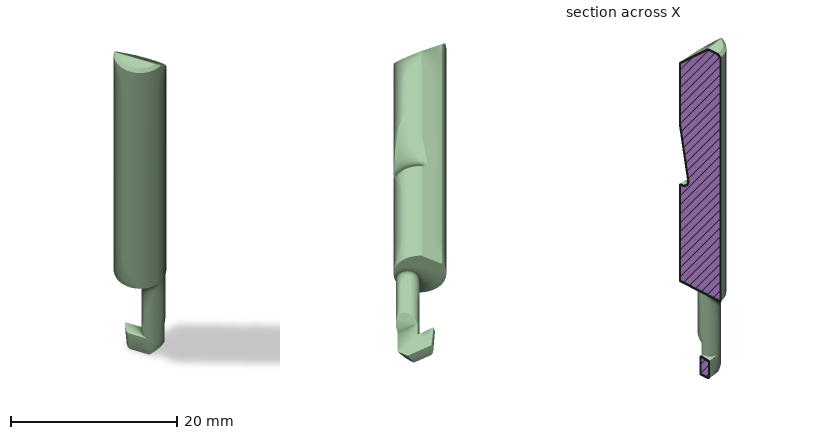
import cadquery as cq

TOTAL_LENGTH = 50.8
SHANK_DIAMETER = 6.35
SHANK_RADIUS = SHANK_DIAMETER / 2
SHANK_BOTTOM = 12.75
TOP_CHAMFER = 0.4

SLOPE_START_Y = -1.2
FLAT_DIRECTION = 152.0
FLAT_DISTANCE = 2.85
NOTCH_BOTTOM = 27.75
NOTCH_TOP = 36.8
NOTCH_FLOOR_Y = 1.75
NOTCH_RADIUS = 1.0

NECK_RADIUS = 1.4
NECK_CENTER_X = SHANK_RADIUS - NECK_RADIUS
RELIEF_BOTTOM = 4.5

HEAD_HEIGHT = 2.85
HEAD_TOP_DROP = 0.15
HEAD_TIP_X = -1.95
HEAD_TIP_TAPER = 0.3
HEAD_FRONT_X = -0.9
HEAD_FRONT_TAPER = 0.15
HEAD_BULGE = 0.15

CLEARANCE = 10.15


def yz_prism(points):
    """Prism with a Y-Z outline, extending well past the part along X."""
    return cq.Workplane("YZ").polyline(points).close().extrude(CLEARANCE, both=True)


def make_shank():
    shank = (
        cq.Workplane("XY").workplane(offset=SHANK_BOTTOM)
        .circle(SHANK_RADIUS).extrude(TOTAL_LENGTH - SHANK_BOTTOM)
        .faces(">Z").chamfer(TOP_CHAMFER)
    )
    slope = yz_prism([
        (SLOPE_START_Y, TOTAL_LENGTH),
        (SLOPE_START_Y + CLEARANCE, TOTAL_LENGTH - CLEARANCE),
        (SLOPE_START_Y + CLEARANCE, TOTAL_LENGTH),
    ])
    flat = (
        cq.Workplane("XY")
        .box(CLEARANCE, CLEARANCE, TOTAL_LENGTH, centered=(False, True, False))
        .translate((FLAT_DISTANCE, 0, 0))
        .rotate((0, 0, 0), (0, 0, 1), FLAT_DIRECTION)
    )
    notch = yz_prism([
        (SHANK_RADIUS, NOTCH_BOTTOM),
        (NOTCH_FLOOR_Y, NOTCH_BOTTOM),
        (SHANK_RADIUS, NOTCH_TOP),
    ])
    notch = notch.edges("|X").edges("<Y").fillet(NOTCH_RADIUS)
    return shank.cut(slope).cut(flat).cut(notch)


def make_neck():
    neck = cq.Workplane("XY").center(NECK_CENTER_X, 0).circle(NECK_RADIUS).extrude(SHANK_BOTTOM)
    relief = yz_prism([
        (0, -CLEARANCE),
        (0, RELIEF_BOTTOM),
        (CLEARANCE, RELIEF_BOTTOM + CLEARANCE),
        (CLEARANCE, -CLEARANCE),
    ])
    bevel_height = SHANK_RADIUS - NECK_CENTER_X
    bevel = (
        cq.Workplane("XZ")
        .polyline([(NECK_CENTER_X, 0), (SHANK_RADIUS, 0), (SHANK_RADIUS, bevel_height)])
        .close().extrude(CLEARANCE, both=True)
    )
    return neck.cut(relief).cut(bevel)


def head_section(height, tip_x, front_x):
    """Wire of the head at one height, with a slightly convex clearance side."""
    middle = ((tip_x + front_x) / 2 - HEAD_BULGE, -NECK_RADIUS / 2 - HEAD_BULGE)
    return (
        cq.Workplane("XY").workplane(offset=height)
        .moveTo(NECK_CENTER_X, 0)
        .lineTo(tip_x, 0)
        .threePointArc(middle, (front_x, -NECK_RADIUS))
        .lineTo(NECK_CENTER_X, -NECK_RADIUS)
        .close().val()
    )


def make_head():
    lower = head_section(0, HEAD_TIP_X + HEAD_TIP_TAPER, HEAD_FRONT_X + HEAD_FRONT_TAPER)
    upper = head_section(HEAD_HEIGHT, HEAD_TIP_X, HEAD_FRONT_X)
    head = cq.Workplane(cq.Solid.makeLoft([lower, upper], True))
    top_relief = yz_prism([
        (0, HEAD_HEIGHT),
        (-NECK_RADIUS, HEAD_HEIGHT),
        (-NECK_RADIUS, HEAD_HEIGHT - HEAD_TOP_DROP),
    ])
    return head.cut(top_relief)


result = make_shank().union(make_neck()).union(make_head())